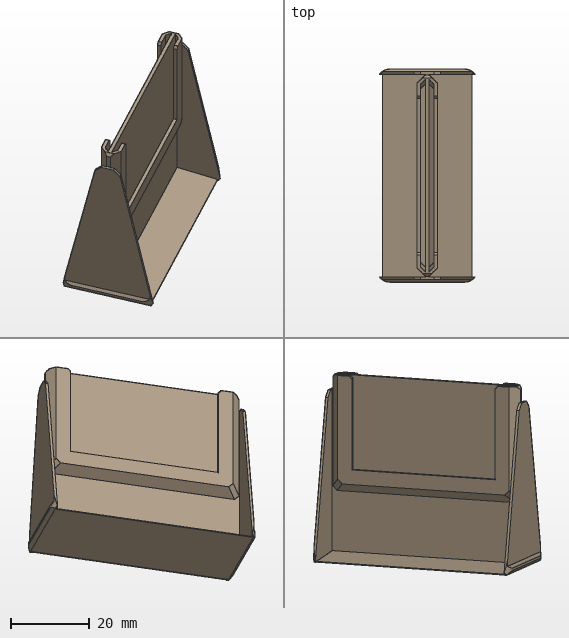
import cadquery as cq

length = 54.1
width = 24.2
height = 46.8

inner_half_length = 25.7
plate_outer_y = 26.4
plate_top = 42.75
plate_top_half_width = 1.7
plate_shoulder_half_width = 3.4
plate_shoulder_drop = 1.6
plate_widest_z = 0.75
plate_bottom_half_width = 11.65

rim_bottom_y = 26.15
rim_low_z = 1.0
rim_high_z = 1.6
rim_slope = 0.7
rim_corner_radius = 3.35
rim_half_width = 12.75

floor_half_width = 11.35
floor_edge_thickness = 0.2
floor_middle_z = 1.2

wall_half_thickness = 0.5
holder_half_length = 25.55
holder_half_width = 2.65
holder_bottom = 16.8
holder_corner_cut = 1.2
holder_top_cut = 0.75

slot_outer_x = 1.7
slot_half_length = 24.4
slot_bottom = 17.9

window_half_length = 19.55
window_bottom = 22.7
window_top_flare = 0.65


def mirrored_outline(right_side):
    """Points of a symmetric outline, from its right half listed bottom to top."""
    left_side = [(-u, v) for u, v in reversed(right_side)]
    return right_side + left_side


def make_end_plates():
    """Two plates: the common part of a sloped front shape, a rimmed side shape and a rounded footprint."""
    front_shape = (
        cq.Workplane("XZ")
        .polyline(mirrored_outline([
            (plate_bottom_half_width, 0),
            (width / 2, plate_widest_z),
            (plate_shoulder_half_width, plate_top - plate_shoulder_drop),
            (plate_top_half_width, plate_top),
        ]))
        .close()
        .extrude(length / 2, both=True)
    )
    side_shape = (
        cq.Workplane("YZ")
        .polyline(mirrored_outline([
            (rim_bottom_y, 0),
            (length / 2, rim_low_z),
            (length / 2, rim_high_z),
            (plate_outer_y, rim_high_z + rim_slope),
            (plate_outer_y, plate_top),
        ]))
        .close()
        .extrude(width, both=True)
    )
    footprint = (
        cq.Workplane("XY")
        .rect(2 * rim_half_width, length)
        .extrude(height)
        .edges("|Z")
        .fillet(rim_corner_radius)
    )
    space_between = cq.Workplane("XY").box(2 * width, 2 * inner_half_length, 2 * height)
    return front_shape.intersect(side_shape).intersect(footprint).cut(space_between)


def make_floor_and_wall():
    return (
        cq.Workplane("XZ")
        .polyline(mirrored_outline([
            (floor_half_width, 0),
            (floor_half_width, floor_edge_thickness),
            (wall_half_thickness, floor_middle_z),
            (wall_half_thickness, height),
        ]))
        .close()
        .extrude(inner_half_length, both=True)
    )


def tapered_side(outer_x, half_length, bottom):
    """Solid from the wall's +X face out to outer_x, tapering at 45 degrees at its ends and bottom."""
    depth = outer_x - wall_half_thickness

    def outline(inset):
        end = half_length - inset
        low = bottom + inset
        return mirrored_outline([
            (end - holder_corner_cut, low),
            (end, low + holder_corner_cut),
            (end, height),
        ])

    return (
        cq.Workplane("YZ", origin=(wall_half_thickness, 0, 0))
        .polyline(outline(0))
        .close()
        .workplane(offset=depth)
        .polyline(outline(depth))
        .close()
        .loft(ruled=True, combine=True)
    )


def make_window():
    flare_start = height - window_top_flare
    return (
        cq.Workplane("YZ", origin=(wall_half_thickness, 0, 0))
        .polyline(mirrored_outline([
            (window_half_length, window_bottom),
            (window_half_length, flare_start),
            (window_half_length + window_top_flare, height),
        ]))
        .close()
        .extrude(holder_half_width)
    )


def make_holder_side():
    shell = tapered_side(holder_half_width, holder_half_length, holder_bottom)
    slot = tapered_side(slot_outer_x, slot_half_length, slot_bottom)
    return shell.cut(slot).cut(make_window())


def trim_top_corners(body):
    """Slope off the upper ends of the wall and holder."""
    trimmed_shape = (
        cq.Workplane("YZ")
        .polyline(mirrored_outline([
            (length, 0),
            (length, plate_top),
            (holder_half_length, plate_top),
            (holder_half_length, height - holder_top_cut),
            (holder_half_length - holder_top_cut, height),
        ]))
        .close()
        .extrude(width, both=True)
    )
    return body.intersect(trimmed_shape)


holder_side = make_holder_side()
body = make_end_plates().union(make_floor_and_wall())
body = body.union(holder_side).union(holder_side.mirror("YZ"))
result = trim_top_corners(body)